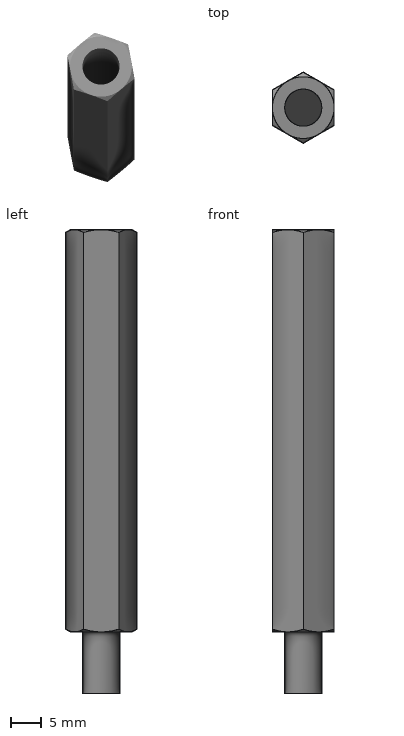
import cadquery as cq
import math

TOTAL_LENGTH = 75.0
STUD_PROJECTION = 10.0
ACROSS_FLATS = 10.0
BORE_DIAMETER = 6.0
STUD_INSERTION = 10.0
CHAMFER_ANGLE = 30.0

SLEEVE_LENGTH = TOTAL_LENGTH - STUD_PROJECTION
ACROSS_CORNERS = ACROSS_FLATS / math.cos(math.radians(30))
FACE_RADIUS = ACROSS_FLATS / 2
CORNER_RADIUS = ACROSS_CORNERS / 2
CHAMFER_HEIGHT = (CORNER_RADIUS - FACE_RADIUS) * math.tan(math.radians(CHAMFER_ANGLE))


def chamfer_envelope():
    """Round bar with coned ends that trims the corners of the hexagon."""
    return (
        cq.Workplane("XZ")
        .moveTo(0, STUD_PROJECTION)
        .lineTo(FACE_RADIUS, STUD_PROJECTION)
        .lineTo(CORNER_RADIUS, STUD_PROJECTION + CHAMFER_HEIGHT)
        .lineTo(CORNER_RADIUS, TOTAL_LENGTH - CHAMFER_HEIGHT)
        .lineTo(FACE_RADIUS, TOTAL_LENGTH)
        .lineTo(0, TOTAL_LENGTH)
        .close()
        .revolve(360, (0, 0, 0), (0, 1, 0))
    )


def make_sleeve():
    """Hexagonal sleeve with corners on the Y axis and a through bore."""
    hexagon = (
        cq.Workplane("XY")
        .workplane(offset=STUD_PROJECTION)
        .transformed(rotate=(0, 0, 90))
        .polygon(6, ACROSS_CORNERS)
        .extrude(SLEEVE_LENGTH)
    )
    bore = (
        cq.Workplane("XY")
        .workplane(offset=STUD_PROJECTION)
        .circle(BORE_DIAMETER / 2)
        .extrude(SLEEVE_LENGTH)
    )
    return hexagon.intersect(chamfer_envelope()).cut(bore)


def make_stud():
    """Plain stud that fills the lower part of the bore and projects below the sleeve."""
    return cq.Workplane("XY").circle(BORE_DIAMETER / 2).extrude(STUD_PROJECTION + STUD_INSERTION)


sleeve = make_sleeve()
stud = make_stud()

result = cq.Compound.makeCompound([sleeve.val(), stud.val()])